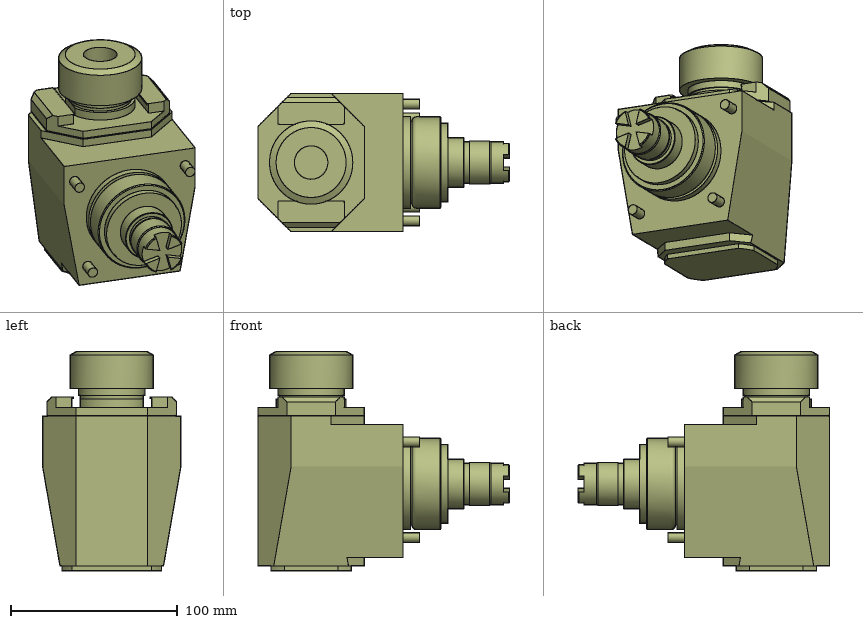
import cadquery as cq
import math


total_length = 151.0
total_height = 131.7

head_top = 79.6
head_bottom = 57.2
neck_bottom = 53.2
rail_top = 52.2
collar_top = 50.9
plate_top = 45.9
plate_bottom = 41.0
body_top = 40.6
block_top = 35.8
taper_start = 10.4
block_bottom = -44.2
column_bottom = -49.2
cap_bottom = head_top - total_height

body_width = 83.0
column_length = 63.9
column_corner = 20.0
block_end = 55.1
tapered_width = 62.2
left_face = -column_length / 2

plate_width = 77.9
seam_depth = 0.5
rail_length = 40.0
rail_inner = 23.0
rail_chamfer = 3.0
lip_depth = 0.9
rail_corner_radius = 0.9

cap_diameter = 68.0
cap_length = 48.3
cap_width = 60.0

head_diameter = 50.0
head_face_diameter = 42.0
head_chamfer_height = 2.3
neck_diameter = 40.0
stem_diameter = 38.0
collar_diameter = 42.1
bore_diameter = 20.1
bore_depth = 13.6

pilot_radius = 27.5
pilot_length = 22.8
groove_start = 4.5
groove_floor = 0.9
groove_depth = 2.7
step_radius = 23.7
step_end = 26.9
hub_radius = 15.0
hub_end = 36.7
shank_radius = 12.5
shank_start = 39.9
journal_radius = 13.0
journal_end = 51.8
journal_cone = 0.9
tooth_root = 60.4
shaft_end = total_length + left_face - block_end
edge_chamfer = 0.6
hub_chamfer = 0.3

slot_inner_width = 3.8
slot_outer_width = 10.3

pin_diameter = 6.0
pin_length = 10.0
upper_pins = (35.0, 25.2)
lower_pins = (26.7, -32.2)


def box(x_range, y_range, z_range):
    """Box between the given limits on each axis."""
    size = [high - low for low, high in (x_range, y_range, z_range)]
    return cq.Workplane("XY").box(*size, centered=False).translate((x_range[0], y_range[0], z_range[0]))


def cylinder(diameter, bottom, top):
    """Cylinder on the tool axis."""
    return cq.Workplane("XY").workplane(offset=bottom).circle(diameter / 2).extrude(top - bottom)


def octagon(bottom, top, inset=0):
    """Column with 45 degree corners, centred on the tool axis."""
    outline = cq.Workplane("XY").workplane(offset=bottom)
    outline = outline.rect(column_length - 2 * inset, body_width - 2 * inset)
    return outline.extrude(top - bottom).edges("|Z").chamfer(column_corner)


def make_housing():
    """Octagonal column with the drive block, both narrowing towards the bottom."""
    block = box((0, block_end), (-body_width / 2, body_width / 2), (block_bottom, block_top))
    half_top = body_width / 2
    half_bottom = tapered_width / 2
    tapered_section = (
        cq.Workplane("YZ", origin=(left_face, 0, 0))
        .polyline([
            (-half_top, body_top),
            (half_top, body_top),
            (half_top, taper_start),
            (half_bottom, column_bottom),
            (-half_bottom, column_bottom),
            (-half_top, taper_start),
        ])
        .close()
        .extrude(block_end - left_face)
    )
    return octagon(column_bottom, body_top).union(block).intersect(tapered_section)


def make_seam():
    """Thin core between column and cover plate, set back to leave a fine seam."""
    half_width = plate_width / 2 - seam_depth
    width_limit = box((left_face, -left_face), (-half_width, half_width), (body_top, plate_bottom))
    return octagon(body_top, plate_bottom, seam_depth).intersect(width_limit)


def make_rail():
    """Rail on the +Y side, with a lip along the top of its inner edge."""
    half_length = rail_length / 2
    x_range = (-half_length, half_length)
    outer = plate_width / 2
    rail = box(x_range, (rail_inner, outer), (plate_bottom, rail_top))
    rail = rail.edges("|Z and <Y").fillet(rail_corner_radius)
    rail = rail.edges(">Y and >Z").chamfer(rail_chamfer)
    undercut = box(x_range, (rail_inner, rail_inner + lip_depth), (plate_top, rail_top - lip_depth))
    return rail.cut(undercut)


def make_cover():
    """Cover plate and rails, trimmed to the corners of the column."""
    plate = box(
        (left_face, -left_face), (-plate_width / 2, plate_width / 2), (plate_bottom, plate_top)
    )
    rail = make_rail()
    cover = plate.union(rail).union(rail.mirror("XZ"))
    return cover.intersect(octagon(plate_bottom, rail_top))


def make_cap():
    """Round cap with four flats under the column."""
    flats = box(
        (-cap_length / 2, cap_length / 2), (-cap_width / 2, cap_width / 2), (cap_bottom, column_bottom)
    )
    return cylinder(cap_diameter, cap_bottom, column_bottom).intersect(flats)


def make_spindle():
    """Collar with two flats, neck and bored clamping head."""
    half_flat = stem_diameter / 2
    flats = box((left_face, -left_face), (-half_flat, half_flat), (plate_top, collar_top))
    collar = cylinder(collar_diameter, plate_top, collar_top).intersect(flats)
    stem = cylinder(stem_diameter, plate_top, neck_bottom)
    neck = cylinder(neck_diameter, neck_bottom, head_bottom)
    head = cylinder(head_diameter, head_bottom, head_top)
    chamfer_width = (head_diameter - head_face_diameter) / 2
    head = head.faces(">Z").chamfer(head_chamfer_height, chamfer_width)
    bore = cylinder(bore_diameter, head_top - bore_depth, head_top)
    return collar.union(stem).union(neck).union(head).cut(bore)


def make_shaft():
    """Turned drive shaft with a rounded seal groove around the pilot."""
    groove_end = groove_start + groove_floor
    groove_radius = pilot_radius - groove_depth
    diagonal = groove_depth * math.sqrt(0.5)
    arc_middle = (groove_end + groove_depth - diagonal, groove_radius + diagonal)
    profile = (
        cq.Workplane("XY")
        .polyline([
            (0, 0),
            (0, pilot_radius),
            (groove_start, pilot_radius),
            (groove_start, groove_radius),
            (groove_end, groove_radius),
        ])
        .threePointArc(arc_middle, (groove_end + groove_depth, pilot_radius))
        .lineTo(pilot_length - edge_chamfer, pilot_radius)
        .lineTo(pilot_length, pilot_radius - edge_chamfer)
        .lineTo(pilot_length, step_radius)
        .lineTo(step_end, step_radius)
        .lineTo(step_end, hub_radius)
        .lineTo(hub_end - hub_chamfer, hub_radius)
        .lineTo(hub_end, hub_radius - hub_chamfer)
        .lineTo(hub_end, shank_radius)
        .lineTo(shank_start, shank_radius)
        .lineTo(shank_start, journal_radius)
        .lineTo(journal_end, journal_radius)
        .lineTo(journal_end + journal_cone, shank_radius)
        .lineTo(shaft_end - edge_chamfer, shank_radius)
        .lineTo(shaft_end, shank_radius - edge_chamfer)
        .lineTo(shaft_end, 0)
        .close()
    )
    shaft = profile.revolve(360, (0, 0, 0), (1, 0, 0))
    slot = (
        cq.Workplane("YZ", origin=(tooth_root, 0, 0))
        .polyline([
            (0, -slot_inner_width / 2),
            (shank_radius, -slot_outer_width / 2),
            (shank_radius, slot_outer_width / 2),
            (0, slot_inner_width / 2),
        ])
        .close()
        .extrude(shaft_end - tooth_root)
    )
    for angle in (0, 90, 180, 270):
        shaft = shaft.cut(slot.rotate((0, 0, 0), (1, 0, 0), angle))
    return shaft.translate((block_end, 0, 0))


def make_pins():
    """Two pairs of pins standing out of the end face of the drive block."""
    points = [(side * y, z) for y, z in (upper_pins, lower_pins) for side in (-1, 1)]
    face = cq.Workplane("YZ", origin=(block_end, 0, 0))
    return face.pushPoints(points).circle(pin_diameter / 2).extrude(pin_length)


result = make_housing()
for section in (make_seam(), make_cover(), make_cap(), make_spindle(), make_shaft(), make_pins()):
    result = result.union(section)